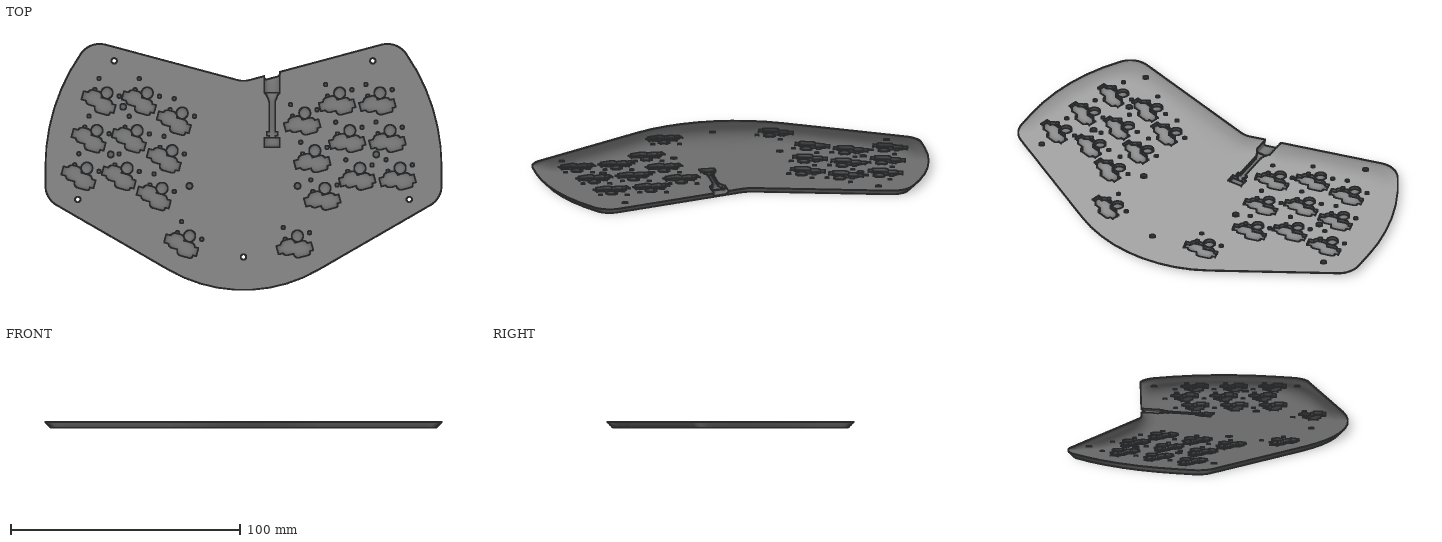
import cadquery as cq
import math

WIDTH = 173.08
LENGTH = 107.51
THICKNESS = 2.7
EDGE_BEVEL = 2.5
CORNER_RADIUS = 10.0
FRONT_RADIUS = 65.0
WING_TILT = 15.0
FRONT_SLOPE = 30.0

CUT_MARGIN = 1.0

KEY_PITCH = 17.0
COLUMN_STAGGER = 4.5
HOME_KEY = (46.4, 15.85)
HUB_DIAMETER = 5.05
HUB_DEPTH = 1.65
GUIDE_DIAMETER = 1.65
GUIDE_OFFSET = 5.5
PIN_DIAMETER = 1.6
PIN_OFFSET = (-5.0, 5.15)
SMALL_HOLE_DEPTH = 1.65
SOCKET_DEPTH = 1.7

UPPER_BODY = (-8.1, -1.85, -7.05, -0.35)
LOWER_BODY = (-3.6, 3.5, -9.35, -2.6)
UPPER_TAB = (-10.05, -6.0, -5.65, -1.85)
LOWER_TAB = (1.0, 5.1, -7.8, -4.1)
BODY_RADIUS = 2.0
BODY_TIGHT_RADIUS = 1.0

SCREW_DIAMETER = 2.3
SCREW_PAIRS = [(56.45, 46.3), (72.35, -14.2)]
SCREW_NOSE = (0.0, -39.3)
POST_DIAMETER = 2.7
POST_DEPTH = 1.65
POST_PAIRS = [(52.55, 26.25), (57.95, 5.45), (23.6, -8.3)]

CABLE_X = 12.5
PLUG_WIDTH = 6.8
PLUG_END_Y = 32.4
PLUG_DEPTH = 1.9
PLUG_FLOOR_RADIUS = 1.15
CABLE_WIDTH = 2.6
CABLE_DEPTH = 1.6
THROAT_WIDTH = 4.8
THROAT_START_Y = 31.3
THROAT_END_Y = 28.5
COLLAR_WIDTH = 4.7
COLLAR_TOP_Y = 15.4
COLLAR_BOTTOM_Y = 13.6
HEAD_WIDTH = 6.8
HEAD_TOP_Y = 12.75
HEAD_BOTTOM_Y = 8.6
HEAD_DEPTH = 1.8


def polar(centre, radius, degrees):
    angle = math.radians(degrees)
    return (centre[0] + radius * math.cos(angle), centre[1] + radius * math.sin(angle))


def mirrored(point):
    return (-point[0], point[1])


def plate():
    """Boomerang-shaped slab, full size at the top face and bevelled towards the underside."""
    half_width = WIDTH / 2
    half_length = LENGTH / 2
    r = CORNER_RADIUS
    tilt = math.radians(WING_TILT)
    slope = math.radians(FRONT_SLOPE)

    shoulder_y = half_length - r
    shoulder = (math.sqrt((half_width - r) ** 2 - shoulder_y ** 2), shoulder_y)
    shoulder_angle = math.degrees(math.atan2(shoulder[1], shoulder[0]))
    back_angle = 90 + WING_TILT
    back_start = polar(shoulder, r, back_angle)
    back_mid = polar(shoulder, r, (shoulder_angle + back_angle) / 2)
    side_top = polar((0, 0), half_width, shoulder_angle)
    side_mid = polar((0, 0), half_width, shoulder_angle / 2)

    valley_y = back_start[1] - back_start[0] * math.tan(tilt)
    valley = (0, valley_y + r / math.cos(tilt))
    valley_end = polar(valley, r, WING_TILT - 90)
    valley_mid = polar(valley, r, -90)

    nose = (0, FRONT_RADIUS - half_length)
    nose_end = polar(nose, FRONT_RADIUS, FRONT_SLOPE - 90)
    nose_mid = polar(nose, FRONT_RADIUS, -90)
    front_y = nose[1] - FRONT_RADIUS / math.cos(slope)
    hip_x = half_width - r
    hip = (hip_x, front_y + hip_x * math.tan(slope) + r / math.cos(slope))
    hip_end = polar(hip, r, FRONT_SLOPE - 90)
    hip_mid = polar(hip, r, (FRONT_SLOPE - 90) / 2)
    hip_start = polar(hip, r, 0)

    outline = (
        cq.Workplane("XY")
        .moveTo(*valley_end)
        .lineTo(*back_start)
        .threePointArc(back_mid, side_top)
        .threePointArc(side_mid, (half_width, 0))
        .lineTo(*hip_start)
        .threePointArc(hip_mid, hip_end)
        .lineTo(*nose_end)
        .threePointArc(nose_mid, mirrored(nose_end))
        .lineTo(*mirrored(hip_end))
        .threePointArc(mirrored(hip_mid), mirrored(hip_start))
        .lineTo(-half_width, 0)
        .threePointArc(mirrored(side_mid), mirrored(side_top))
        .threePointArc(mirrored(back_mid), mirrored(back_start))
        .lineTo(*mirrored(valley_end))
        .threePointArc(valley_mid, valley_end)
        .close()
    )
    return outline.extrude(THICKNESS).faces("<Z").chamfer(EDGE_BEVEL)


def pocket(x_min, x_max, y_min, y_max, depth):
    """Rectangular cutter sunk to the given depth below the top face."""
    return (
        cq.Workplane("XY", origin=(0, 0, THICKNESS - depth))
        .moveTo((x_min + x_max) / 2, (y_min + y_max) / 2)
        .rect(x_max - x_min, y_max - y_min)
        .extrude(depth + CUT_MARGIN)
    )


def drills(points, diameter, depth):
    """Round cutters sunk to the given depth below the top face."""
    return (
        cq.Workplane("XY", origin=(0, 0, THICKNESS - depth))
        .pushPoints(points)
        .circle(diameter / 2)
        .extrude(depth + CUT_MARGIN)
    )


def key_cutter():
    """Everything sunk for one key, with the hub at the origin."""
    upper = pocket(*UPPER_BODY, SOCKET_DEPTH).edges("|Z").fillet(BODY_RADIUS)
    lower = pocket(*LOWER_BODY, SOCKET_DEPTH)
    lower = lower.edges("|Z").edges(">X").edges("<Y").fillet(BODY_TIGHT_RADIUS)
    lower = lower.edges("|Z").edges("<X or >Y").fillet(BODY_RADIUS)
    guides = [(-GUIDE_OFFSET, 0), (GUIDE_OFFSET, 0)]
    return (
        upper.union(lower)
        .union(pocket(*UPPER_TAB, SOCKET_DEPTH))
        .union(pocket(*LOWER_TAB, SOCKET_DEPTH))
        .union(drills([(0, 0)], HUB_DIAMETER, HUB_DEPTH))
        .union(drills(guides, GUIDE_DIAMETER, SMALL_HOLE_DEPTH))
        .union(drills([PIN_OFFSET], PIN_DIAMETER, SMALL_HOLE_DEPTH))
    )


def key_places(side):
    """Key centres relative to the home key, before tilting: side is 1 for right, -1 for left."""
    middle = [(0, row * KEY_PITCH) for row in (-1, 0, 1)]
    outer = [(side * KEY_PITCH, y - COLUMN_STAGGER) for _, y in middle]
    inner = [(-side * KEY_PITCH, y - COLUMN_STAGGER) for _, y in middle]
    thumb = (-2 * side * KEY_PITCH, -2 * KEY_PITCH - COLUMN_STAGGER)
    return middle + outer + inner + [thumb]


def key_field(side):
    """Cutters for all the keys of one hand, tilted and moved into place."""
    single = key_cutter()
    field = cq.Workplane("XY")
    for x, y in key_places(side):
        field = field.add(single.translate((x, y, 0)))
    return (
        field.combine()
        .rotate((0, 0, 0), (0, 0, 1), side * WING_TILT)
        .translate((side * HOME_KEY[0], HOME_KEY[1], 0))
    )


def fixing_holes():
    """Screw holes right through, and blind holes for the posts, both in mirrored pairs."""
    screws = SCREW_PAIRS + [mirrored(point) for point in SCREW_PAIRS] + [SCREW_NOSE]
    posts = POST_PAIRS + [mirrored(point) for point in POST_PAIRS]
    return drills(screws, SCREW_DIAMETER, THICKNESS).union(drills(posts, POST_DIAMETER, POST_DEPTH))


def cable_channel():
    """Plug recess open at the back edge, narrowing to a cable groove, a collar and a head pocket."""

    def centred_pocket(width, y_min, y_max, depth):
        return pocket(CABLE_X - width / 2, CABLE_X + width / 2, y_min, y_max, depth)

    plug = centred_pocket(PLUG_WIDTH, PLUG_END_Y, LENGTH / 2, PLUG_DEPTH)
    plug = plug.edges("|Y and <Z").fillet(PLUG_FLOOR_RADIUS)
    throat = (
        cq.Workplane("XY", origin=(CABLE_X, 0, THICKNESS - CABLE_DEPTH))
        .moveTo(-PLUG_WIDTH / 2, PLUG_END_Y)
        .lineTo(-THROAT_WIDTH / 2, THROAT_START_Y)
        .lineTo(-CABLE_WIDTH / 2, THROAT_END_Y)
        .lineTo(CABLE_WIDTH / 2, THROAT_END_Y)
        .lineTo(THROAT_WIDTH / 2, THROAT_START_Y)
        .lineTo(PLUG_WIDTH / 2, PLUG_END_Y)
        .close()
        .extrude(CABLE_DEPTH + CUT_MARGIN)
    )
    groove = centred_pocket(CABLE_WIDTH, HEAD_TOP_Y, THROAT_END_Y, CABLE_DEPTH)
    collar = centred_pocket(COLLAR_WIDTH, COLLAR_BOTTOM_Y, COLLAR_TOP_Y, CABLE_DEPTH)
    head = centred_pocket(HEAD_WIDTH, HEAD_BOTTOM_Y, HEAD_TOP_Y, HEAD_DEPTH)
    return plug.union(throat).union(groove).union(collar).union(head)


result = (
    plate()
    .cut(key_field(1))
    .cut(key_field(-1))
    .cut(fixing_holes())
    .cut(cable_channel())
)